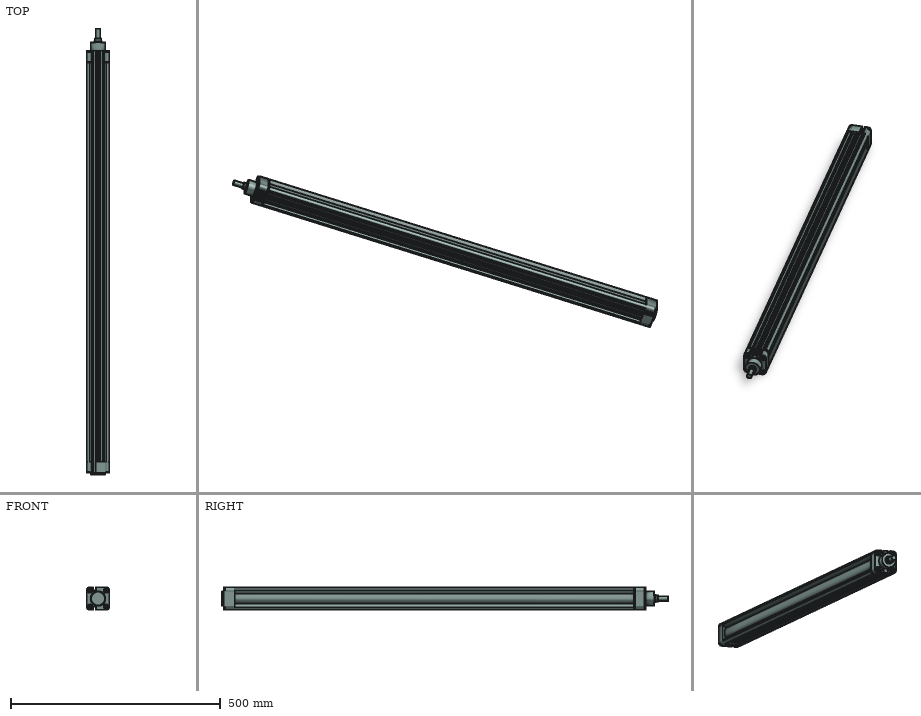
import cadquery as cq

TOTAL_LENGTH = 1063.0
BODY_SIZE = 54.0
CORNER_RADIUS = 9.0

REAR_BOSS_LENGTH = 4.0
REAR_CAP_LENGTH = 27.0
FRONT_CAP_LENGTH = 29.0
COLLAR_LENGTH = 20.0
ROD_STUB_LENGTH = 10.0
THREAD_LENGTH = 23.0
BODY_LENGTH = TOTAL_LENGTH - REAR_BOSS_LENGTH - COLLAR_LENGTH - ROD_STUB_LENGTH - THREAD_LENGTH
BARREL_END = BODY_LENGTH - FRONT_CAP_LENGTH
COLLAR_END = BODY_LENGTH + COLLAR_LENGTH
ROD_SHOULDER = COLLAR_END + ROD_STUB_LENGTH
ROD_TIP = ROD_SHOULDER + THREAD_LENGTH

GUIDE_DIAMETER = 35.0
WIPER_DIAMETER = 18.0
WIPER_LENGTH = 3.0
ROD_DIAMETER = 16.0
THREAD_DIAMETER = 12.0
EDGE_CHAMFER = 1.0
CAP_LIP_LENGTH = 3.0
CAP_LIP_INSET = 0.5

SLOT_OFFSET = 8.1
SLOT_WIDTH = 6.0
SLOT_DEPTH = 7.0
SLOT_LIP_WIDTH = 3.0
SLOT_LIP_DEPTH = 1.0

TUBE_DIAMETER = 46.0
LOBE_CREST = 20.0
CHANNEL_FLOOR = 12.0
CHANNEL_DEPTH = 7.0
RAIL_DROP = 4.0
RAIL_EDGE = 15.0

SCREW_SPACING = 38.0
SCREW_HEAD_DIAMETER = 11.0
SCREW_HEAD_DEPTH = 3.0
SCREW_SOCKET_DIAMETER = 5.0
SCREW_SOCKET_DEPTH = 9.0

HALF = BODY_SIZE / 2
RAIL_LEVEL = HALF - RAIL_DROP
SIDES = (-1, 1)


def section_plane(y):
    """XZ plane at the given Y, with local x along +X, local y along +Z and its normal along -Y."""
    return cq.Plane(origin=(0, y, 0), xDir=(1, 0, 0), normal=(0, -1, 0))


def cylinder(diameter, start, end):
    return cq.Workplane(section_plane(start)).circle(diameter / 2).extrude(start - end)


def rounded_bar(start, end, size=BODY_SIZE):
    bar = cq.Workplane(section_plane(start)).rect(size, size).extrude(start - end)
    return bar.edges("|Y").fillet(CORNER_RADIUS)


def prism(points, start, end):
    return cq.Workplane(section_plane(start)).polyline(points).close().extrude(start - end)


def slot_cutter(x_side, z_side, start, end, mouth=HALF, inner_lip=True):
    """Slot with a bevel on its outer edge and, if asked for, one on its inner edge."""
    inner = SLOT_OFFSET - SLOT_WIDTH / 2
    outer = SLOT_OFFSET + SLOT_WIDTH / 2
    floor = HALF - SLOT_DEPTH
    lip = mouth - SLOT_LIP_DEPTH
    points = [(inner, floor), (outer, floor), (outer, lip), (outer + SLOT_LIP_WIDTH, mouth)]
    if inner_lip:
        points += [(inner - SLOT_LIP_WIDTH, mouth), (inner, lip)]
    else:
        points += [(inner, mouth)]
    return prism([(x_side * x, z_side * z) for x, z in points], start, end)


def make_barrel():
    start = REAR_CAP_LENGTH
    end = BARREL_END
    barrel = rounded_bar(start, end)
    tube = cylinder(TUBE_DIAMETER, start, end)
    for side in SIDES:
        channel = [
            (side * HALF, LOBE_CREST),
            (side * (HALF - CHANNEL_DEPTH), CHANNEL_FLOOR),
            (side * (HALF - CHANNEL_DEPTH), -CHANNEL_FLOOR),
            (side * HALF, -LOBE_CREST),
        ]
        barrel = barrel.cut(prism(channel, start, end).cut(tube))
        rail_gap = [
            (LOBE_CREST, side * HALF),
            (RAIL_EDGE, side * RAIL_LEVEL),
            (-RAIL_EDGE, side * RAIL_LEVEL),
            (-LOBE_CREST, side * HALF),
        ]
        barrel = barrel.cut(prism(rail_gap, start, end))
        for x_side in SIDES:
            barrel = barrel.cut(slot_cutter(x_side, side, start, end, RAIL_LEVEL))
    return barrel


def make_front_cap():
    cap = rounded_bar(BARREL_END + CAP_LIP_LENGTH, BODY_LENGTH - CAP_LIP_LENGTH)
    cap = cap.union(rounded_bar(BARREL_END, BODY_LENGTH, BODY_SIZE - 2 * CAP_LIP_INSET))
    for x_side in SIDES:
        for z_side in SIDES:
            cap = cap.cut(slot_cutter(x_side, z_side, BARREL_END, BODY_LENGTH))
    cap = cap.union(cylinder(GUIDE_DIAMETER, BODY_LENGTH, COLLAR_END))
    return cap.union(cylinder(WIPER_DIAMETER, COLLAR_END, COLLAR_END + WIPER_LENGTH))


def make_rear_cap():
    cap = rounded_bar(0, REAR_CAP_LENGTH)
    for z_side in SIDES:
        cap = cap.cut(slot_cutter(-1, z_side, 0, REAR_CAP_LENGTH, inner_lip=False))
    boss = cylinder(GUIDE_DIAMETER, -REAR_BOSS_LENGTH, 0).faces("<Y").chamfer(EDGE_CHAMFER)
    return cap.union(boss)


def cut_screw_sockets(body):
    """Stepped sockets in the four corners of both end faces."""
    for face, inward in ((0, 1), (BODY_LENGTH, -1)):
        for diameter, depth in (
            (SCREW_HEAD_DIAMETER, SCREW_HEAD_DEPTH),
            (SCREW_SOCKET_DIAMETER, SCREW_SOCKET_DEPTH),
        ):
            sockets = (
                cq.Workplane(section_plane(face))
                .rect(SCREW_SPACING, SCREW_SPACING, forConstruction=True)
                .vertices()
                .circle(diameter / 2)
                .extrude(-inward * depth)
            )
            body = body.cut(sockets)
    return body


def make_housing():
    body = make_barrel().union(make_front_cap()).union(make_rear_cap())
    body = cut_screw_sockets(body)
    return body.cut(cylinder(ROD_DIAMETER, BARREL_END, ROD_TIP))


def make_rod():
    """Rod seated in the front cap bore, with a chamfered shoulder and a threaded tip."""
    shank = cylinder(ROD_DIAMETER, BARREL_END, ROD_SHOULDER).faces(">Y").chamfer(EDGE_CHAMFER)
    thread = cylinder(THREAD_DIAMETER, ROD_SHOULDER, ROD_TIP)
    return shank.union(thread)


housing = make_housing()
piston_rod = make_rod()

result = cq.Compound.makeCompound([housing.val(), piston_rod.val()])